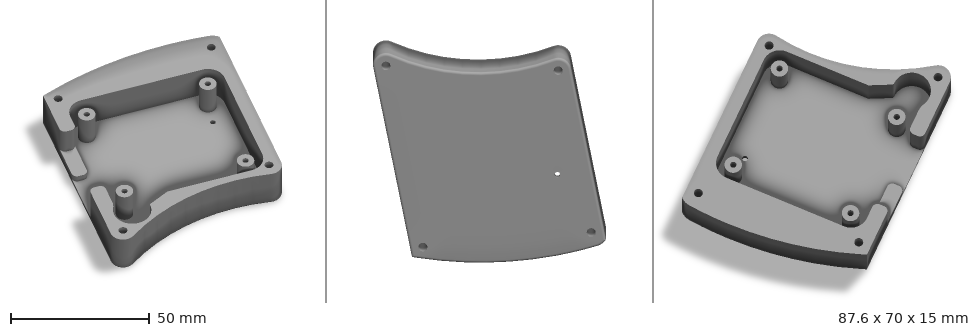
import cadquery as cq
import math

length = 87.6
width = 70.0
height = 15.0
bottom_round = 1.0

ear_radius = 4.6
top_ear_x = 69.35
ear_bottom = (length - ear_radius, ear_radius)
ear_top = (top_ear_x, width - ear_radius)
hollow_radius = 74.4
bulge_upper_radius = 137.5
bulge_lower_radius = 142.7
bulge_y = 51.0
bulge_low_y = 1.7
nose_low_y = 66.5
nose_top_x = 2.6
nose_radius = 5.8

screw_diameter = 3.2
screw_points = [ear_bottom, ear_top, (12.6, ear_radius), (6.6, width - ear_radius)]

floor_z = 2.0
pocket_left, pocket_right = 16.1, 69.8
pocket_bottom, pocket_top = 5.8, 64.8
pocket_corner = 6.3
lobe_center = (74.35, 11.2)
lobe_radius = 6.9
lobe_blend_radius = 7.4
slant_top_y = 26.3
slant_end = (73.5, 18.7)
slant_blend_radius = 1.0

opening_left, opening_right = 29.2, 59.0
sill_right = 42.4
sill_z = 4.6
wall_end_radius = 2.0

post_diameter = 6.3
post_height = 11.65
post_hole_diameter = 2.3
post_hole_depth = 9.0
post_hole_tip = 0.7
post_x = (22.2, 63.2)
post_y = (12.2, 58.5)
vent_diameter = 2.0
vent_point = (30.5, 57.5)


def toward(start, end, distance):
    """Point at a distance from start along the direction to end."""
    span = math.dist(start, end)
    return tuple(a + (b - a) * distance / span for a, b in zip(start, end))


def arc_middle(center, start, end, radius):
    """Middle of the minor arc from start to end about center."""
    chord_middle = tuple((a + b) / 2 for a, b in zip(start, end))
    return toward(center, chord_middle, radius)


def bulge_x(y, radius):
    """How far the left side has curved inward at height y."""
    return radius - math.sqrt(radius**2 - (y - bulge_y) ** 2)


def make_body():
    ear_span = math.dist(ear_bottom, ear_top)
    offset = math.sqrt((hollow_radius + ear_radius) ** 2 - (ear_span / 2) ** 2)
    across = (ear_top[0] - ear_bottom[0]) / ear_span
    along = (ear_top[1] - ear_bottom[1]) / ear_span
    hollow_center = (
        (ear_bottom[0] + ear_top[0]) / 2 + along * offset,
        (ear_bottom[1] + ear_top[1]) / 2 - across * offset,
    )
    low_tangent = toward(ear_bottom, hollow_center, ear_radius)
    high_tangent = toward(ear_top, hollow_center, ear_radius)
    hollow_middle = arc_middle(hollow_center, low_tangent, high_tangent, hollow_radius)

    bulge_low = (bulge_x(bulge_low_y, bulge_lower_radius), bulge_low_y)
    bulge_rise = bulge_y - bulge_low_y
    bulge_slope = bulge_rise / (bulge_lower_radius - bulge_low[0])
    nose_low = (bulge_x(nose_low_y, bulge_upper_radius), nose_low_y)
    front_left_x = bulge_low[0] + bulge_slope * bulge_low_y

    outline = (
        cq.Workplane("XY")
        .moveTo(front_left_x, 0)
        .lineTo(ear_bottom[0], 0)
        .threePointArc((length, ear_bottom[1]), low_tangent)
        .threePointArc(hollow_middle, high_tangent)
        .threePointArc(
            arc_middle(ear_top, high_tangent, (ear_top[0], width), ear_radius), (ear_top[0], width)
        )
        .lineTo(nose_top_x, width)
        .radiusArc(nose_low, -nose_radius)
        .radiusArc((0, bulge_y), -bulge_upper_radius)
        .radiusArc(bulge_low, -bulge_lower_radius)
        .close()
    )
    return outline.extrude(height).faces("<Z").edges().fillet(bottom_round)


def make_pocket():
    depth = height - floor_z
    base = cq.Workplane("XY").workplane(offset=floor_z)
    main = (
        base.moveTo(pocket_left, pocket_bottom)
        .lineTo(pocket_right, pocket_bottom)
        .lineTo(pocket_right, pocket_top)
        .lineTo(pocket_left, pocket_top)
        .close()
        .extrude(depth)
        .edges("|Z and (<X or >Y)")
        .fillet(pocket_corner)
    )

    blend_y = pocket_bottom - lobe_blend_radius
    blend_reach = lobe_blend_radius + lobe_radius
    blend_x = lobe_center[0] - math.sqrt(blend_reach**2 - (lobe_center[1] - blend_y) ** 2)
    blend_center = (blend_x, blend_y)
    blend_start = (blend_x, pocket_bottom)
    blend_end = toward(blend_center, lobe_center, lobe_blend_radius)
    lobe_right = (lobe_center[0] + lobe_radius, lobe_center[1])
    lobe_top = (lobe_center[0], lobe_center[1] + lobe_radius)
    bay = (
        base.moveTo(post_x[1], pocket_bottom)
        .lineTo(*blend_start)
        .threePointArc(arc_middle(blend_center, blend_start, blend_end, lobe_blend_radius), blend_end)
        .threePointArc(lobe_right, lobe_top)
        .radiusArc(slant_end, slant_blend_radius)
        .lineTo(pocket_right, slant_top_y)
        .lineTo(post_x[1], slant_top_y)
        .close()
        .extrude(depth)
    )
    return main, bay


def wall_gap(left, right, bottom_z):
    """Gap through the front wall whose flanks curve outward around the wall ends."""
    r = wall_end_radius
    return (
        cq.Workplane("XY")
        .workplane(offset=bottom_z)
        .moveTo(left - r, 0)
        .radiusArc((left, r), -r)
        .lineTo(left, pocket_bottom - r)
        .radiusArc((left - r, pocket_bottom), -r)
        .lineTo(right + r, pocket_bottom)
        .radiusArc((right, pocket_bottom - r), -r)
        .lineTo(right, r)
        .radiusArc((right + r, 0), -r)
        .close()
        .extrude(height - bottom_z)
    )


def make_posts():
    points = [(x, y) for x in post_x for y in post_y]
    top_z = floor_z + post_height
    posts = cq.Workplane("XY").workplane(offset=floor_z).pushPoints(points)
    posts = posts.circle(post_diameter / 2).extrude(post_height)
    hole = (
        cq.Workplane("XZ")
        .lineTo(post_hole_diameter / 2, 0)
        .lineTo(post_hole_diameter / 2, -post_hole_depth)
        .lineTo(0, -post_hole_depth - post_hole_tip)
        .close()
        .revolve(360, (0, 0), (0, 1))
    )
    for x, y in points:
        posts = posts.cut(hole.translate((x, y, top_z)))
    return posts


def through_holes(points, diameter):
    return cq.Workplane("XY").pushPoints(points).circle(diameter / 2).extrude(height)


result = make_body()
for pocket_part in make_pocket():
    result = result.cut(pocket_part)
result = result.cut(wall_gap(opening_left, opening_right, sill_z))
result = result.cut(wall_gap(sill_right, opening_right, floor_z))
result = result.union(make_posts())
result = result.cut(through_holes(screw_points, screw_diameter))
result = result.cut(through_holes([vent_point], vent_diameter))